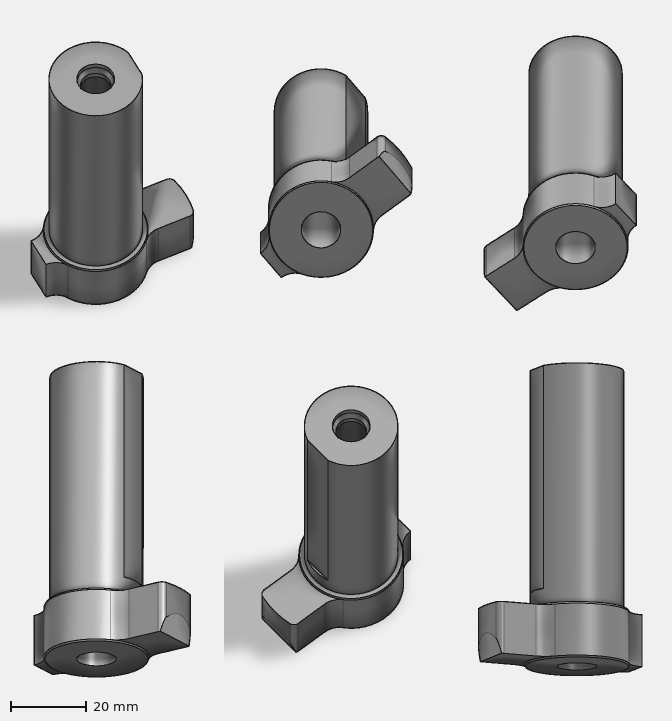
import cadquery as cq
import math

hub_radius = 14.0
hub_height = 15.0
rim_height = 0.5
rim_inset = 0.2

total_height = 80.0
shaft_radius = 12.5
flat_y = 11.8
flat_start_z = 19.6

neck_radius = 6.0
long_tab_half_width = 7.0
long_tab_reach = 26.9
long_tab_corner_radius = 1.8
short_tab_half_width = 4.5
tab_bottom_z = rim_height
tab_height = hub_height - 2 * rim_height
bevel_top_z = 7.0
bevel_depth = 1.7

mouth_radius = 10.0 / 2
mouth_depth = 1.4
throat_radius = 8.2 / 2
throat_top_depth = 2.9
throat_bottom_depth = 4.3
lower_bore_radius = 10.5 / 2


def neck_center_y(half_width):
    """Y of the arc centre tangent to both the tab side and the hub."""
    return math.sqrt((hub_radius + neck_radius) ** 2 - (half_width + neck_radius) ** 2)


short_tab_reach = neck_center_y(short_tab_half_width)


def make_tab(half_width, side_reach, tip_reach):
    """Tab pointing to +Y, with a crowned end when the tip is beyond the sides."""
    center_x = half_width + neck_radius
    center_y = neck_center_y(half_width)
    to_hub = hub_radius / (hub_radius + neck_radius)
    hub_x = center_x * to_hub
    hub_y = center_y * to_hub
    middle_angle = math.pi + math.atan2(center_y, center_x) / 2
    middle_x = center_x + neck_radius * math.cos(middle_angle)
    middle_y = center_y + neck_radius * math.sin(middle_angle)

    outline = cq.Workplane("XY", origin=(0, 0, tab_bottom_z)).moveTo(0, 0).lineTo(hub_x, hub_y)
    outline = outline.threePointArc((middle_x, middle_y), (half_width, center_y))
    if side_reach > center_y:
        outline = outline.lineTo(half_width, side_reach)
    if tip_reach > side_reach:
        outline = outline.threePointArc((0, tip_reach), (-half_width, side_reach))
    else:
        outline = outline.lineTo(-half_width, side_reach)
    if side_reach > center_y:
        outline = outline.lineTo(-half_width, center_y)
    outline = outline.threePointArc((-middle_x, middle_y), (-hub_x, hub_y))
    return outline.close().extrude(tab_height)


def make_long_tab():
    side_reach = math.sqrt(long_tab_reach ** 2 - long_tab_half_width ** 2)
    tab = make_tab(long_tab_half_width, side_reach, long_tab_reach)
    end_corners = cq.selectors.BoxSelector(
        (-hub_radius, hub_radius + neck_radius, 0), (hub_radius, long_tab_reach, hub_height)
    )
    tab = tab.edges("|Z").edges(end_corners).fillet(long_tab_corner_radius)
    relief = (
        cq.Workplane("YZ")
        .moveTo(long_tab_reach, bevel_top_z)
        .lineTo(long_tab_reach - bevel_depth, tab_bottom_z)
        .lineTo(long_tab_reach, tab_bottom_z)
        .close()
        .extrude(long_tab_half_width, both=True)
    )
    return tab.cut(relief)


def make_short_tab():
    tab = make_tab(short_tab_half_width, short_tab_reach, short_tab_reach)
    return tab.rotate((0, 0, 0), (0, 0, 1), 180)


def make_hub():
    hub = cq.Workplane("XY").circle(hub_radius).extrude(hub_height)
    return hub.faces("<Z or >Z").chamfer(rim_height, rim_inset)


def make_shaft():
    shaft = cq.Workplane("XY").circle(shaft_radius).extrude(total_height)
    flat_cut = (
        cq.Workplane("XY", origin=(0, flat_y, flat_start_z))
        .rect(2 * shaft_radius, shaft_radius, centered=(True, False))
        .extrude(total_height - flat_start_z)
    )
    return shaft.cut(flat_cut)


def make_bore():
    throat_top_z = total_height - throat_top_depth
    throat_bottom_z = total_height - throat_bottom_depth
    mouth_bottom_z = total_height - mouth_depth
    return (
        cq.Workplane("XZ")
        .polyline([
            (0, 0),
            (lower_bore_radius, 0),
            (lower_bore_radius, throat_bottom_z),
            (throat_radius, throat_bottom_z),
            (throat_radius, throat_top_z),
            (mouth_radius, mouth_bottom_z),
            (mouth_radius, total_height),
            (0, total_height),
        ])
        .close()
        .revolve(360, (0, 0, 0), (0, 1, 0))
    )


body = make_hub().union(make_shaft()).union(make_long_tab()).union(make_short_tab())
result = body.cut(make_bore())